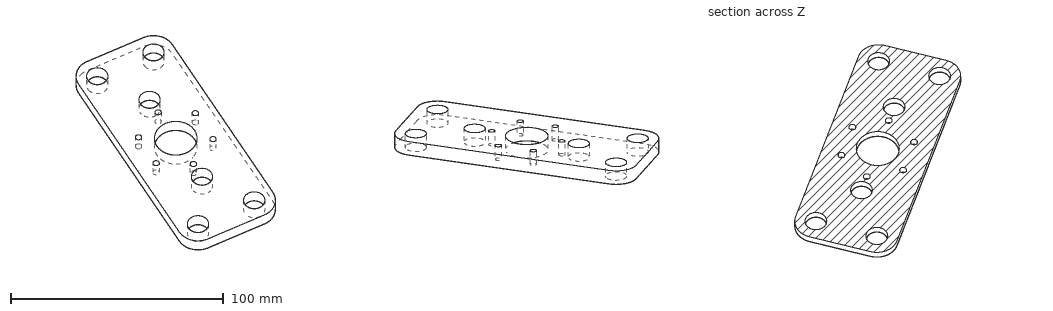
import cadquery as cq

LENGTH = 120.0
WIDTH = 50.0
THICKNESS = 7.0
CORNER_RADIUS = 10.0

CORNER_HOLE_DIAMETER = 10.0
CORNER_HOLE_SPACING_X = LENGTH - 2 * CORNER_RADIUS
CORNER_HOLE_SPACING_Y = WIDTH - 2 * CORNER_RADIUS

BORE_DIAMETER = 20.0
SIDE_HOLE_DIAMETER = 10.0
SIDE_HOLE_OFFSET = 26.0

SCREW_HOLE_DIAMETER = 3.0
SCREW_HOLE_COUNT = 6
SCREW_CIRCLE_RADIUS = 17.5


def make_plate():
    """Flat plate with rounded vertical corners, resting on Z = 0."""
    plate = cq.Workplane("XY").box(LENGTH, WIDTH, THICKNESS, centered=(True, True, False))
    return plate.edges("|Z").fillet(CORNER_RADIUS)


def top_plane(body):
    """Workplane on the top face, centred on the plate."""
    return body.faces(">Z").workplane(origin=(0, 0, THICKNESS))


def cut_corner_holes(body):
    holes = top_plane(body).rarray(CORNER_HOLE_SPACING_X, CORNER_HOLE_SPACING_Y, 2, 2)
    return holes.hole(CORNER_HOLE_DIAMETER)


def cut_bore(body):
    return top_plane(body).hole(BORE_DIAMETER)


def cut_side_holes(body):
    centers = [(-SIDE_HOLE_OFFSET, 0), (SIDE_HOLE_OFFSET, 0)]
    return top_plane(body).pushPoints(centers).hole(SIDE_HOLE_DIAMETER)


def cut_screw_holes(body):
    """Evenly spaced through holes, the first one on the +X axis."""
    holes = top_plane(body).polarArray(SCREW_CIRCLE_RADIUS, 0, 360, SCREW_HOLE_COUNT)
    return holes.hole(SCREW_HOLE_DIAMETER)


result = make_plate()
result = cut_corner_holes(result)
result = cut_bore(result)
result = cut_side_holes(result)
result = cut_screw_holes(result)